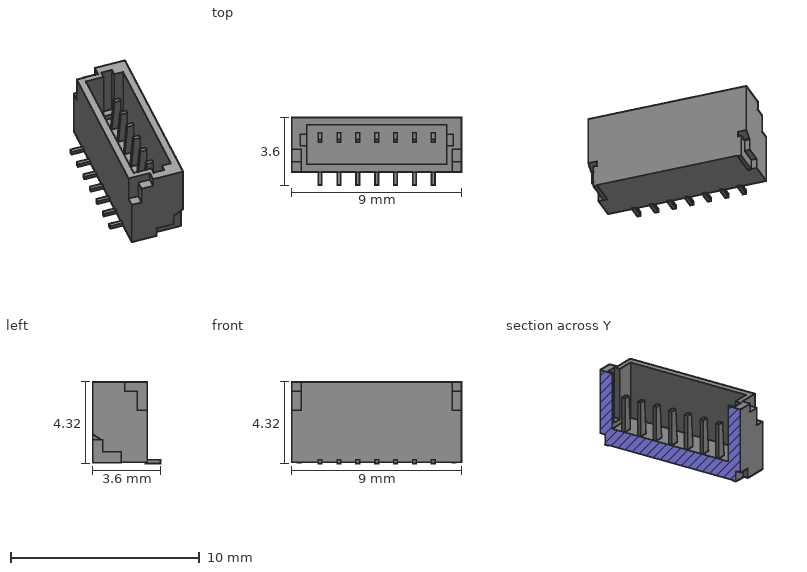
import cadquery as cq


LENGTH = 9.0
DEPTH = 2.9
HEIGHT = 4.26
STANDOFF = 0.06
TOP = STANDOFF + HEIGHT

END_WALL = 0.8
SIDE_WALL = 0.4
CAVITY_FLOOR_Z = 1.1
CAVITY_LENGTH = LENGTH - 2 * END_WALL
CAVITY_DEPTH = DEPTH - 2 * SIDE_WALL
SLOT_OUTER_WALL = 0.45
SLOT_WIDTH = 0.6
SLOT_BACK_WALL = 0.9
SLOT_FLOOR_Z = 1.4

NOTCH_WIDTH = 0.5
NOTCH_UPPER_REACH = 1.2
NOTCH_UPPER_DROP = 0.49
NOTCH_LOWER_REACH = 0.55
NOTCH_LOWER_DROP = 1.5

PIN_COUNT = 7
PITCH = 1.0
PIN_WIDTH = 0.2
PIN_BACK_INSET = 0.81
PIN_BACK_Y = DEPTH - PIN_BACK_INSET
PIN_TIP_DEPTH = 0.36
PIN_ROOT_DEPTH = 0.505
PIN_TIP_INSET = 1.25
PIN_TOP = TOP - PIN_TIP_INSET
LEAD_THICKNESS = 0.2
LEAD_REACH = 0.7
LEAD_EMBED = 0.12

TAB_RECESS = 0.3
TAB_THICKNESS = 0.2
TAB_BOTTOM = 0.03
TAB_TOP = 1.27
TAB_FOOT_TOP = 0.62
TAB_UPRIGHT_WIDTH = 0.52
TAB_FOOT_LENGTH = 1.5
POCKET_SLOPE_RUN = 0.43
POCKET_SLOPE_RISE = 0.28


def box(x_min, y_min, z_min, x_max, y_max, z_max):
    size = (x_max - x_min, y_max - y_min, z_max - z_min)
    return cq.Workplane("XY").box(*size, centered=False).translate((x_min, y_min, z_min))


def side_profile(points, x_min, width):
    """Extrude an outline of (Y, Z) points along +X from x_min."""
    return cq.Workplane("YZ", origin=(x_min, 0, 0)).polyline(points).close().extrude(width)


def both_ends(left_feature):
    return left_feature.union(left_feature.mirror("YZ"))


def make_cavity():
    cavity = box(
        -CAVITY_LENGTH / 2, SIDE_WALL, CAVITY_FLOOR_Z,
        CAVITY_LENGTH / 2, SIDE_WALL + CAVITY_DEPTH, TOP,
    )
    slot_reach = LENGTH / 2 - SLOT_OUTER_WALL
    slot_back = DEPTH - SLOT_BACK_WALL
    slots = box(-slot_reach, slot_back - SLOT_WIDTH, SLOT_FLOOR_Z, slot_reach, slot_back, TOP)
    return cavity.union(slots)


def make_corner_notch():
    outline = [
        (0, TOP),
        (NOTCH_UPPER_REACH, TOP),
        (NOTCH_UPPER_REACH, TOP - NOTCH_UPPER_DROP),
        (NOTCH_LOWER_REACH, TOP - NOTCH_UPPER_DROP),
        (NOTCH_LOWER_REACH, TOP - NOTCH_LOWER_DROP),
        (0, TOP - NOTCH_LOWER_DROP),
    ]
    return side_profile(outline, -LENGTH / 2, NOTCH_WIDTH)


def tab_steps(bottom):
    """Stepped front edge shared by the solder tab and its pocket, from the bottom up."""
    foot_end = DEPTH - TAB_FOOT_LENGTH
    upright_front = DEPTH - TAB_UPRIGHT_WIDTH
    return [
        (DEPTH, bottom),
        (foot_end, bottom),
        (foot_end, TAB_FOOT_TOP),
        (upright_front, TAB_FOOT_TOP),
        (upright_front, TAB_TOP),
    ]


def make_tab_pocket():
    sloped_ceiling = [
        (DEPTH - POCKET_SLOPE_RUN, TAB_TOP),
        (DEPTH, TAB_TOP + POCKET_SLOPE_RISE),
    ]
    outline = tab_steps(STANDOFF) + sloped_ceiling
    return side_profile(outline, -LENGTH / 2, TAB_RECESS + TAB_THICKNESS)


def make_tab():
    outline = tab_steps(TAB_BOTTOM) + [(DEPTH, TAB_TOP)]
    return side_profile(outline, -LENGTH / 2 + TAB_RECESS, TAB_THICKNESS)


def make_pin(x):
    """Contact pin whose front face leans back towards the tip."""
    outline = [
        (PIN_BACK_Y, CAVITY_FLOOR_Z),
        (PIN_BACK_Y, PIN_TOP),
        (PIN_BACK_Y - PIN_TIP_DEPTH, PIN_TOP),
        (PIN_BACK_Y - PIN_ROOT_DEPTH, CAVITY_FLOOR_Z),
    ]
    return side_profile(outline, x - PIN_WIDTH / 2, PIN_WIDTH)


def make_lead(x):
    return box(x - PIN_WIDTH / 2, -LEAD_REACH, 0, x + PIN_WIDTH / 2, LEAD_EMBED, LEAD_THICKNESS)


result = box(-LENGTH / 2, 0, STANDOFF, LENGTH / 2, DEPTH, TOP)
result = result.cut(make_cavity())
result = result.cut(both_ends(make_corner_notch()))
result = result.cut(both_ends(make_tab_pocket()))
result = result.union(both_ends(make_tab()))
for index in range(PIN_COUNT):
    pin_x = (index - (PIN_COUNT - 1) / 2) * PITCH
    result = result.union(make_pin(pin_x)).union(make_lead(pin_x))